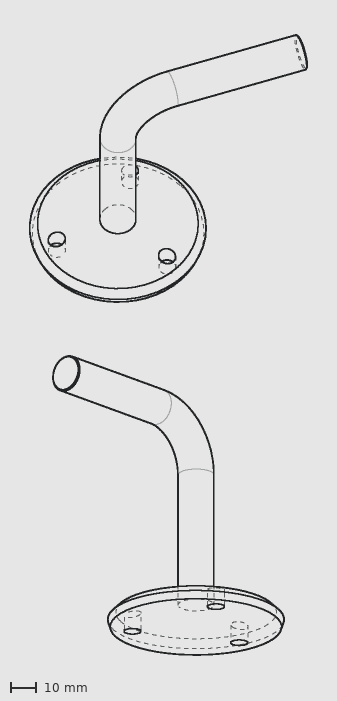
import cadquery as cq
import math

plate_radius = 34.0
base_radius = 33.0
dome_edge_radius = 31.0
rim_height = 3.0
dome_edge_height = 6.0
seat_height = 9.0

hole_count = 3
hole_diameter = 6.5
hole_circle_radius = 25.0
first_hole_angle = -90

rod_radius = 7.0
bend_radius = 22.0
straight_length = 53.0
end_chamfer = 0.4


def dome_point_on_arc():
    """Point halfway in radius on the dome, a sphere centred on the plate axis."""
    rise = seat_height - dome_edge_height
    center_height = (seat_height + dome_edge_height) / 2 - (dome_edge_radius**2 - rod_radius**2) / (2 * rise)
    sphere_radius = math.hypot(dome_edge_radius, dome_edge_height - center_height)
    middle_radius = (rod_radius + dome_edge_radius) / 2
    return middle_radius, center_height + math.sqrt(sphere_radius**2 - middle_radius**2)


def make_plate():
    """Domed disc with a flat seat for the rod and a ring of screw holes."""
    disc = (
        cq.Workplane("XZ")
        .lineTo(base_radius, 0)
        .lineTo(plate_radius, rim_height)
        .lineTo(dome_edge_radius, dome_edge_height)
        .threePointArc(dome_point_on_arc(), (rod_radius, seat_height))
        .lineTo(0, seat_height)
        .close()
        .revolve(360, (0, 0), (0, 1))
    )
    holes = (
        cq.Workplane("XY")
        .polarArray(hole_circle_radius, first_hole_angle, 360, hole_count)
        .circle(hole_diameter / 2)
        .extrude(seat_height)
    )
    return disc.cut(holes)


def make_rod():
    """Round bar swept along two straight legs and the bend, chamfered at its free end."""
    bend_start_height = seat_height + straight_length
    bend_end_height = bend_start_height + bend_radius
    bend_middle = (
        bend_radius * (1 - math.cos(math.pi / 4)),
        bend_start_height + bend_radius * math.sin(math.pi / 4),
    )
    center_line = (
        cq.Workplane("YZ")
        .moveTo(0, seat_height)
        .lineTo(0, bend_start_height)
        .threePointArc(bend_middle, (bend_radius, bend_end_height))
        .lineTo(bend_radius + straight_length, bend_end_height)
    )
    bar = cq.Workplane("XY").workplane(offset=seat_height).circle(rod_radius).sweep(center_line)
    return bar.faces(">Y").chamfer(end_chamfer)


plate = make_plate()
rod = make_rod()

result = cq.Compound.makeCompound([plate.val(), rod.val()])